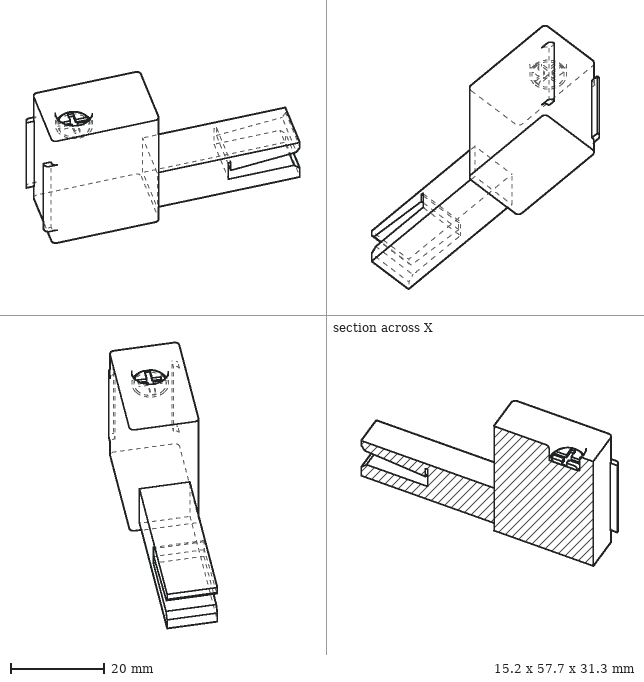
import cadquery as cq

housing_width = 15.15
housing_depth = 24.0
housing_height = 31.3
corner_radius = 1.0

ear_length = 1.7
ear_thickness = 1.2
ear_bottom = 4.0
ear_height = 20.0
ear_root = 2 * corner_radius

well_y = 7.0
well_radius = 3.95
well_rim_radius = 0.7
well_depth = 4.3

screw_radius = 3.45
screw_height = 1.0
screw_edge_radius = 0.55
slot_width = 1.15
slot_depth = 0.8
short_slot_length = 5.0
long_slot_length = 2 * screw_radius

blade_width = 11.0
blade_length = 32.0
blade_bottom = 2.25
blade_top = 12.85
jaw_depth = 16.0
lower_jaw_top = 6.25
lower_tip_chamfer = 1.3
hook_bottom = 8.8
hook_gap = 0.5
hook_gap_top = 11.25
hook_gap_corner_radius = 0.2
upper_tip_bottom = 10.1
upper_tip_chamfer_length = 0.8
upper_tip_chamfer_height = 1.2


def make_ear(side):
    """One ear, on the -X side (side = -1) or the +X side (side = 1)."""
    outer_x = side * housing_width / 2
    inner_x = outer_x - side * ear_thickness
    return (
        cq.Workplane("XY", origin=(0, 0, ear_bottom))
        .moveTo(inner_x, ear_root)
        .lineTo(inner_x, -ear_length)
        .lineTo(outer_x - side * corner_radius, -ear_length)
        .radiusArc((outer_x, corner_radius - ear_length), -side * corner_radius)
        .lineTo(outer_x, ear_root)
        .close()
        .extrude(ear_height)
    )


def make_well():
    """Space of the screw well, with a mouth that flares out in a quarter round."""
    mouth_radius = well_radius + well_rim_radius
    floor_z = housing_height - well_depth
    return (
        cq.Workplane("XZ", origin=(0, well_y, 0))
        .moveTo(0, floor_z)
        .lineTo(well_radius, floor_z)
        .lineTo(well_radius, housing_height - well_rim_radius)
        .radiusArc((mouth_radius, housing_height), well_rim_radius)
        .lineTo(0, housing_height)
        .close()
        .revolve(360, (0, 0, 0), (0, 1, 0))
    )


def make_housing():
    block = (
        cq.Workplane("XY", origin=(0, housing_depth / 2, 0))
        .rect(housing_width, housing_depth)
        .extrude(housing_height)
        .edges("|Z")
        .fillet(corner_radius)
    )
    for side in (-1, 1):
        block = block.union(make_ear(side))
    return block.cut(make_well())


def make_screw():
    bottom_z = housing_height - well_depth
    slot_floor_z = bottom_z + screw_height - slot_depth
    head = (
        cq.Workplane("XY", origin=(0, well_y, bottom_z))
        .circle(screw_radius)
        .extrude(screw_height)
        .faces(">Z")
        .edges()
        .fillet(screw_edge_radius)
    )
    for length_x, length_y in ((short_slot_length, slot_width), (slot_width, long_slot_length)):
        slot = (
            cq.Workplane("XY", origin=(0, well_y, slot_floor_z))
            .rect(length_x, length_y)
            .extrude(slot_depth)
        )
        head = head.cut(slot)
    return head


def make_blade():
    """Forked blade: a plain lower arm, and a hooked upper arm with a sloping underside."""
    root_y = housing_depth
    tip_y = root_y + blade_length
    jaw_y = tip_y - jaw_depth
    hook_y = jaw_y + hook_gap
    corner_y = jaw_y + hook_gap_corner_radius
    corner_z = hook_gap_top - hook_gap_corner_radius
    return (
        cq.Workplane("YZ")
        .moveTo(root_y, blade_bottom)
        .lineTo(tip_y, blade_bottom)
        .lineTo(tip_y, lower_jaw_top - lower_tip_chamfer)
        .lineTo(tip_y - lower_tip_chamfer, lower_jaw_top)
        .lineTo(jaw_y, lower_jaw_top)
        .lineTo(jaw_y, corner_z)
        .radiusArc((corner_y, hook_gap_top), hook_gap_corner_radius)
        .lineTo(hook_y, hook_gap_top)
        .lineTo(hook_y, hook_bottom)
        .lineTo(tip_y - upper_tip_chamfer_length, upper_tip_bottom)
        .lineTo(tip_y, upper_tip_bottom + upper_tip_chamfer_height)
        .lineTo(tip_y, blade_top)
        .lineTo(root_y, blade_top)
        .close()
        .extrude(blade_width / 2, both=True)
    )


housing = make_housing()
screw = make_screw()
blade = make_blade()

result = cq.Compound.makeCompound([housing.val(), screw.val(), blade.val()])